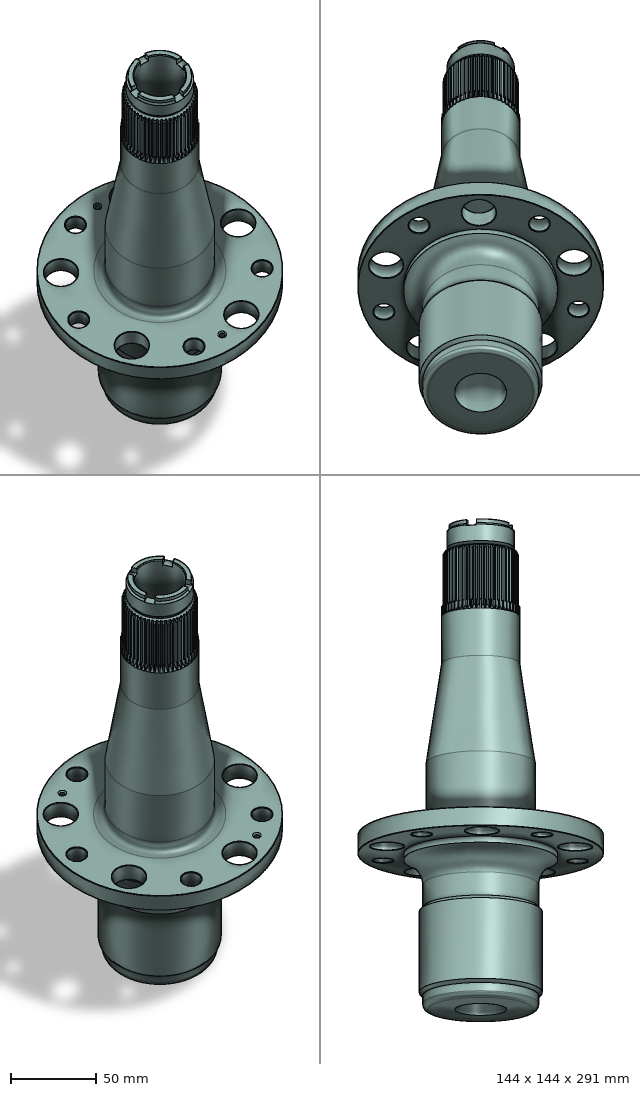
import cadquery as cq
import math

height = 291.0
journal_bottom = 10.2
journal_top = 58.8
neck_fillet_start = 74.8
flange_bottom = 93.7
flange_top = 105.0
seat_top = 148.0
taper_top = 207.8
spline_runout_end = 236.3
spline_runout_start = 239.2
spline_step = 241.8
spline_top = 275.0
thread_bottom = 277.5
tip_bottom = 288.7

bore_radius = 15.0
neck_radius = 34.0
journal_radius = 36.0
lip_radius = 45.0
flange_diameter = 144.0
flange_radius = flange_diameter / 2
seat_radius = 32.0
shaft_radius = 23.0
spline_tip_radius = 22.0
spline_root_radius = 20.5
relief_radius = 18.3
thread_radius = 19.8
tip_radius = 18.5

bottom_fillet = 3.2
neck_blend = 16.0
flange_blend = 6.7
spline_chamfer_width = 1.0
spline_chamfer_height = 1.7
thread_chamfer = thread_radius - relief_radius
flange_chamfer = 0.3
bore_chamfer = 0.5
thread_top_chamfer = thread_radius - tip_radius

tooth_count = 52
groove_root_width = 1.0
groove_mouth_width = 2.0

slot_width = 6.0
slot_depth = 3.8

holes_per_ring = 5
stud_hole_diameter = 20.0
stud_ring_radius = 58.0
bolt_hole_diameter = 12.0
bolt_hole_chamfer = 0.45
stud_hole_chamfer = 0.3
small_ring_radius = 60.0
pin_hole_diameter = 3.2
pin_hole_mouth_diameter = 5.0
pin_hole_depth = 5.8


def turned_body():
    """Revolve the half profile of the spindle about Z."""
    corner = math.sqrt(0.5)
    bottom_arc_mid = (
        neck_radius - bottom_fillet * (1 - corner),
        bottom_fillet * (1 - corner),
    )

    neck_center_r = neck_radius + neck_blend
    lip_angle = math.acos((neck_center_r - lip_radius) / neck_blend)
    lip_edge = neck_fillet_start + neck_blend * math.sin(lip_angle)
    neck_arc_mid = (
        neck_center_r - neck_blend * math.cos(lip_angle / 2),
        neck_fillet_start + neck_blend * math.sin(lip_angle / 2),
    )

    seat_arc_mid = (
        seat_radius + flange_blend * (1 - corner),
        flange_top + flange_blend * (1 - corner),
    )
    journal_chamfer = journal_radius - neck_radius

    profile = (
        cq.Workplane("XZ")
        .moveTo(bore_radius, 0)
        .lineTo(neck_radius - bottom_fillet, 0)
        .threePointArc(bottom_arc_mid, (neck_radius, bottom_fillet))
        .lineTo(neck_radius, journal_bottom - journal_chamfer)
        .lineTo(journal_radius, journal_bottom)
        .lineTo(journal_radius, journal_top)
        .lineTo(neck_radius, journal_top + journal_chamfer)
        .lineTo(neck_radius, neck_fillet_start)
        .threePointArc(neck_arc_mid, (lip_radius, lip_edge))
        .lineTo(lip_radius, flange_bottom)
        .lineTo(flange_radius - flange_chamfer, flange_bottom)
        .lineTo(flange_radius, flange_bottom + flange_chamfer)
        .lineTo(flange_radius, flange_top - flange_chamfer)
        .lineTo(flange_radius - flange_chamfer, flange_top)
        .lineTo(seat_radius + flange_blend, flange_top)
        .threePointArc(seat_arc_mid, (seat_radius, flange_top + flange_blend))
        .lineTo(seat_radius, seat_top)
        .lineTo(shaft_radius, taper_top)
        .lineTo(shaft_radius, spline_step)
        .lineTo(spline_tip_radius, spline_step)
        .lineTo(spline_tip_radius, spline_top - spline_chamfer_height)
        .lineTo(spline_tip_radius - spline_chamfer_width, spline_top)
        .lineTo(relief_radius, spline_top)
        .lineTo(relief_radius, thread_bottom - thread_chamfer)
        .lineTo(thread_radius, thread_bottom)
        .lineTo(thread_radius, tip_bottom - thread_top_chamfer)
        .lineTo(tip_radius, tip_bottom)
        .lineTo(tip_radius, height)
        .lineTo(bore_radius + bore_chamfer, height)
        .lineTo(bore_radius, height - bore_chamfer)
        .close()
    )
    return profile.revolve(360, (0, 0, 0), (0, 1, 0))


def spline_grooves():
    """Tapered grooves between the teeth, open at the top and sloping out below."""
    length = spline_top - spline_runout_end
    section = (
        cq.Workplane("XY", origin=(0, 0, spline_runout_end))
        .polyline([
            (spline_root_radius, -groove_root_width / 2),
            (shaft_radius, -groove_mouth_width / 2),
            (shaft_radius, groove_mouth_width / 2),
            (spline_root_radius, groove_root_width / 2),
        ])
        .close()
        .extrude(length)
    )
    floor_shape = (
        cq.Workplane("XZ")
        .polyline([
            (spline_root_radius, spline_top),
            (spline_root_radius, spline_runout_start),
            (shaft_radius, spline_runout_end),
            (shaft_radius, spline_top),
        ])
        .close()
        .extrude(groove_mouth_width / 2, both=True)
    )
    groove = section.intersect(floor_shape).val()
    pitch = 360 / tooth_count
    return [groove.rotate((0, 0, 0), (0, 0, 1), i * pitch) for i in range(tooth_count)]


def end_slots():
    """Two crossed slots that give four notches in the top end."""
    length = 2 * shaft_radius
    floor = height - slot_depth
    slot = cq.Workplane("XY", origin=(0, 0, floor)).rect(length, slot_width).extrude(slot_depth)
    return slot.union(slot.rotate((0, 0, 0), (0, 0, 1), 90))


def through_hole_ring(ring_radius, first_angle, diameter, chamfer):
    """Cutter for a ring of flange holes, chamfered at both mouths."""
    radius = diameter / 2
    half_profile = [
        (0, flange_bottom),
        (radius + chamfer, flange_bottom),
        (radius, flange_bottom + chamfer),
        (radius, flange_top - chamfer),
        (radius + chamfer, flange_top),
        (0, flange_top),
    ]
    cutter = cq.Workplane("XZ").polyline(half_profile).close().revolve(360, (0, 0, 0), (0, 1, 0)).val()
    places = cq.Workplane("XY").polarArray(ring_radius, first_angle, 360, holes_per_ring)
    return places.eachpoint(lambda place: cutter.moved(place))


def flange_holes(body):
    """Five stud holes, five bolt holes between them and two blind pin holes."""
    studs = through_hole_ring(stud_ring_radius, 90, stud_hole_diameter, stud_hole_chamfer)
    bolts = through_hole_ring(small_ring_radius, -90, bolt_hole_diameter, bolt_hole_chamfer)
    flange_face = cq.Workplane("XY", origin=(0, 0, flange_top))
    pin_points = flange_face.pushPoints([(-small_ring_radius, 0), (small_ring_radius, 0)])
    pins = pin_points.circle(pin_hole_diameter / 2).extrude(-pin_hole_depth)
    mouth_depth = (pin_hole_mouth_diameter - pin_hole_diameter) / 2
    mouths = pin_points.circle(pin_hole_mouth_diameter / 2).extrude(-mouth_depth, taper=45)
    pins = pins.union(mouths)
    return body.cut(studs).cut(bolts).cut(pins)


body = flange_holes(turned_body())
body = body.cut(end_slots())
solid = body.val().cut(*spline_grooves())
result = cq.Workplane("XY").newObject([solid])